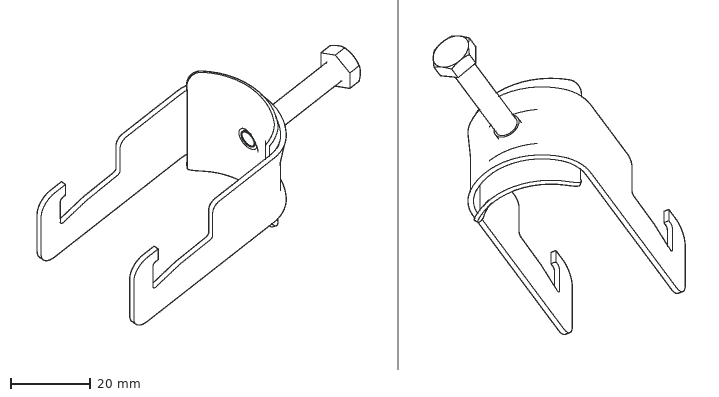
import cadquery as cq
import math

bolt_end_y = 44.3
leg_end_y = bolt_end_y - 95.8

strap_width = 33.5
strap_height = 23.95
strap_thickness = 1.4
arch_radius = 19.2
arch_crest_y = 11.5
arch_flat_height = 12.0
flare_rise = 2.1

leg_corner_radius = 5.0
notch_start_y = -22.5
notch_start_radius = 2.4
notch_floor_z = 0.2
floor_bend_y = -34.6
floor_bend_z = -0.1
notch_end_y = -44.45
notch_deep_z = -1.7
notch_corner_radius = 1.0
hook_tip_y = -42.5
hook_tip_z = 7.95

neck_diameter = 7.1
neck_end_y = 13.9
neck_fillet = 1.1

bolt_diameter = 6.0
head_across_flats = 10.1
head_height = 3.9
head_chamfer_angle = 30.0
head_fillet = 0.3
hex_turn = 30.0
pin_diameter = 4.8
pin_chamfer = 0.3

plate_height = 37.0
plate_thickness = 1.1
plate_radius = 17.2
plate_crest_y = 6.8
plate_half_width = 13.5
plate_straight_height = 27.0
plate_flare_angle = 28.5
plate_bend_radius = 1.8
plate_corner_radius = 3.6

dimple_radius = 4.8
dimple_depth = 1.4
dimple_angle = 41.0
dimple_fillet = 3.6
dimple_cone_length = 4.8

selection_margin = 0.1

plate_axis_y = plate_crest_y - plate_radius
dimple_floor_y = plate_crest_y + dimple_depth
dimple_back_y = dimple_floor_y + plate_thickness


def disc(diameter, start_y, end_y):
    """Round bar along Y."""
    bar = cq.Workplane("XZ", origin=(0, end_y, 0)).circle(diameter / 2)
    return bar.extrude(end_y - start_y)


def arch_section(inset, rise, z):
    """Closed U outline at height z, inset from the outer sheet face, with the crest raised by rise."""
    side = strap_width / 2 - inset
    radius = arch_radius - inset
    crest_y = arch_crest_y + rise - inset
    centre_y = crest_y - radius
    corner = (radius**2 - side**2 - centre_y**2) / (2 * (radius - side))
    corner_x = side - corner
    tangent = math.acos(corner_x / (radius - corner))
    join_x = corner_x + corner * math.cos(tangent)
    join_y = corner * math.sin(tangent)
    mid_x = corner_x + corner * math.cos(tangent / 2)
    mid_y = corner * math.sin(tangent / 2)
    return (
        cq.Workplane("XY", origin=(0, 0, z))
        .moveTo(-side, leg_end_y)
        .lineTo(-side, 0)
        .threePointArc((-mid_x, mid_y), (-join_x, join_y))
        .threePointArc((0, crest_y), (join_x, join_y))
        .threePointArc((mid_x, mid_y), (side, 0))
        .lineTo(side, leg_end_y)
        .close()
        .wire()
        .val()
    )


def arch_block(inset):
    """Solid U block: a straight middle between two flared ends."""
    flat_z = arch_flat_height / 2
    edge_z = strap_height / 2
    heights = [(-edge_z, flare_rise), (-flat_z, 0), (flat_z, 0), (edge_z, flare_rise)]
    sections = [arch_section(inset, rise, z) for z, rise in heights]
    return cq.Workplane(cq.Solid.makeLoft(sections, True))


def leg_outline():
    """Side outline of the strap with the hooked notch, as a block across X."""
    top = strap_height / 2
    block = (
        cq.Workplane("YZ", origin=(-strap_width / 2, 0, 0))
        .moveTo(bolt_end_y, -top)
        .lineTo(leg_end_y, -top)
        .lineTo(leg_end_y, top)
        .lineTo(hook_tip_y, top)
        .lineTo(hook_tip_y, hook_tip_z)
        .lineTo(notch_end_y, hook_tip_z)
        .lineTo(notch_end_y, notch_deep_z)
        .lineTo(floor_bend_y, floor_bend_z)
        .lineTo(notch_start_y, notch_floor_z)
        .lineTo(notch_start_y, top)
        .lineTo(bolt_end_y, top)
        .close()
        .extrude(strap_width)
    )

    def corner(y, z):
        return cq.selectors.NearestToPointSelector((0, y, z))

    block = block.edges("|X").edges("<Y").fillet(leg_corner_radius)
    block = block.edges("|X").edges(corner(notch_start_y, top)).fillet(notch_start_radius)
    for y, z in [
        (notch_end_y, hook_tip_z),
        (notch_end_y, notch_deep_z),
        (notch_start_y, notch_floor_z),
    ]:
        block = block.edges("|X").edges(corner(y, z)).fillet(notch_corner_radius)
    return block


def make_strap():
    strap = arch_block(0).cut(arch_block(strap_thickness))
    strap = strap.intersect(leg_outline())
    neck_start_y = arch_crest_y - strap_thickness / 2
    strap = strap.union(disc(neck_diameter, neck_start_y, neck_end_y))
    neck_base = cq.selectors.BoxSelector(
        (-neck_diameter, neck_start_y, -neck_diameter / 2 - selection_margin),
        (neck_diameter, neck_end_y - selection_margin, neck_diameter / 2 + selection_margin),
        boundingbox=True,
    )
    strap = strap.edges(neck_base).edges("not %LINE").fillet(neck_fillet)
    return strap.cut(disc(bolt_diameter, 0, bolt_end_y))


def make_bolt():
    head_start_y = bolt_end_y - head_height
    corner_radius = head_across_flats / math.sqrt(3)
    flat_radius = head_across_flats / 2
    head = (
        cq.Workplane("XZ", origin=(0, bolt_end_y, 0))
        .polygon(6, 2 * corner_radius)
        .extrude(head_height)
        .rotate((0, 0, 0), (0, 1, 0), hex_turn)
    )
    chamfer_drop = (corner_radius - flat_radius) * math.tan(math.radians(head_chamfer_angle))
    chamfer_limit = (
        cq.Workplane("XY")
        .moveTo(0, head_start_y)
        .lineTo(corner_radius, head_start_y)
        .lineTo(corner_radius, bolt_end_y - chamfer_drop)
        .lineTo(flat_radius, bolt_end_y)
        .lineTo(0, bolt_end_y)
        .close()
        .revolve(360, (0, 0, 0), (0, 1, 0))
    )
    bolt = head.intersect(chamfer_limit)
    bolt = bolt.union(disc(bolt_diameter, dimple_back_y, head_start_y))
    under_head = cq.selectors.NearestToPointSelector((0, head_start_y, 0))
    bolt = bolt.edges("%CIRCLE").edges(under_head).fillet(head_fillet)
    pin = disc(pin_diameter, dimple_floor_y, dimple_back_y).faces("<Y").chamfer(pin_chamfer)
    return bolt.union(pin)


def plate_shell():
    """Bell-mouthed ring segment with rounded outer corners."""
    angle = math.radians(plate_flare_angle)
    straight_z = plate_straight_height / 2
    inner_bend = plate_bend_radius + plate_thickness
    bend_centre_r = plate_radius + inner_bend
    tip_z = plate_height / 2

    def bend_point(radius, turn):
        return (bend_centre_r - radius * math.cos(turn), straight_z + radius * math.sin(turn))

    inner_r, inner_z = bend_point(inner_bend, angle)
    inner_tip_r = inner_r + (tip_z - inner_z) * math.tan(angle)
    outer_tip = (
        inner_tip_r + plate_thickness * math.cos(angle),
        tip_z - plate_thickness * math.sin(angle),
    )
    half_turn = math.degrees(math.asin(plate_half_width / plate_radius))
    half = (
        cq.Workplane("XZ")
        .moveTo(plate_radius, 0)
        .lineTo(plate_radius, straight_z)
        .threePointArc(bend_point(inner_bend, angle / 2), (inner_r, inner_z))
        .lineTo(inner_tip_r, tip_z)
        .lineTo(*outer_tip)
        .lineTo(*bend_point(plate_bend_radius, angle))
        .threePointArc(
            bend_point(plate_bend_radius, angle / 2),
            (plate_radius + plate_thickness, straight_z),
        )
        .lineTo(plate_radius + plate_thickness, 0)
        .close()
        .revolve(2 * half_turn, (0, 0, 0), (0, 1, 0))
        .rotate((0, 0, 0), (0, 0, 1), 90 - half_turn)
    )
    tips = cq.selectors.BoxSelector(
        (-strap_width, 0, outer_tip[1] - selection_margin),
        (strap_width, strap_width, tip_z + selection_margin),
        boundingbox=True,
    )
    half = half.edges(tips).edges("%LINE").fillet(plate_corner_radius)
    shell = half.union(half.mirror("XY"))
    return shell.translate((0, plate_axis_y, 0))


def dimple_cone(floor_y, floor_radius):
    """Cone around Y that narrows to a flat at floor_y."""
    base_radius = floor_radius + dimple_cone_length / math.tan(math.radians(dimple_angle))
    base = cq.Vector(0, floor_y - dimple_cone_length, 0)
    along_y = cq.Vector(0, 1, 0)
    return cq.Workplane(
        cq.Solid.makeCone(base_radius, floor_radius, dimple_cone_length, base, along_y)
    )


def make_plate():
    slope = math.radians(dimple_angle)
    floor_radius = dimple_radius - dimple_depth / math.tan(slope)
    back_radius = floor_radius + plate_thickness * math.tan(slope / 2)
    shell = plate_shell()
    bore = (
        cq.Workplane("XY", origin=(0, plate_axis_y, -plate_height / 2))
        .circle(plate_radius)
        .extrude(plate_height)
    )
    boss = dimple_cone(dimple_back_y, back_radius).cut(bore)
    plate = shell.union(boss).cut(dimple_cone(dimple_floor_y, floor_radius))
    front_rim = cq.selectors.NearestToPointSelector((0, 0, 0))
    back_rim = cq.selectors.NearestToPointSelector((0, dimple_back_y, 0))
    plate = plate.edges("%BSPLINE").edges(front_rim).fillet(dimple_fillet)
    plate = plate.edges("%BSPLINE").edges(back_rim).fillet(dimple_fillet - plate_thickness)
    return plate.cut(disc(pin_diameter, 0, dimple_back_y))


strap = make_strap()
bolt = make_bolt()
plate = make_plate()
result = cq.Compound.makeCompound([strap.val(), bolt.val(), plate.val()])